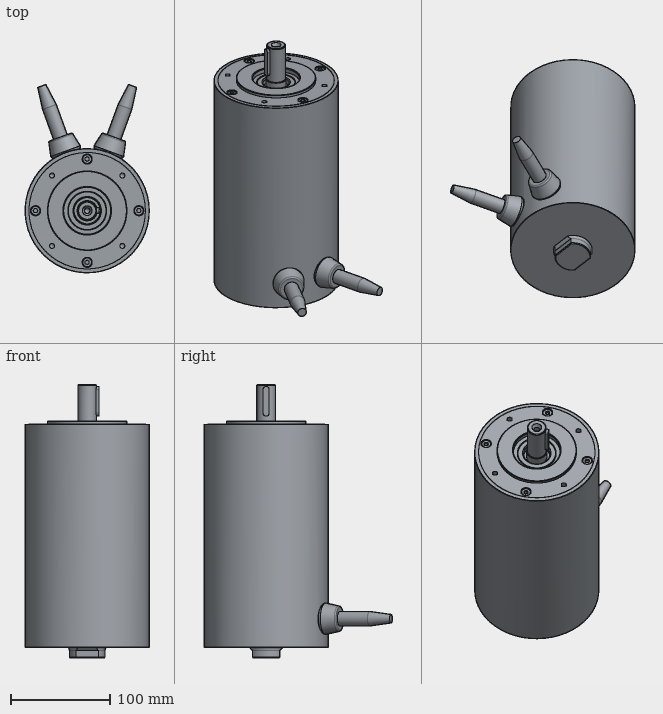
import cadquery as cq
import math

OVERLAP = 2.8
DRILL_TIP_HALF_ANGLE = 60.0

BODY_DIAMETER = 125.0
BODY_BOTTOM = 10.5
BODY_LENGTH = 224.7
BODY_EDGE_CHAMFER = 0.3
BODY_TOP = BODY_BOTTOM + BODY_LENGTH
END_PLATE_RADIUS = 58.5
END_PLATE_RISE = 0.3

PILOT_DIAMETER = 80.0
PILOT_HEIGHT = 3.0
PILOT_TOP = BODY_TOP + PILOT_HEIGHT
EDGE_BREAK = 0.5
RECESS_RADIUS = 23.6
RECESS_CHAMFER = 0.8
RECESS_DEPTH = 5.0
RECESS_FLOOR = PILOT_TOP - RECESS_DEPTH
SEAL_RADIUS = 19.5
SEAL_GROOVE_WIDTH = 0.5
SEAL_GROOVE_DEPTH = 0.5
SHAFT_GAP_RADIUS = 13.2
SHAFT_GAP_CHAMFER = 1.0
SHAFT_GAP_DEPTH = 6.0

SHAFT_TOP = 275.0
SHAFT_DIAMETER = 19.0
SHOULDER_DIAMETER = 20.4
SHOULDER_TOP = PILOT_TOP - 0.8
SHAFT_CHAMFER = 0.8
CENTER_HOLE_DIAMETER = 5.5
CENTER_HOLE_DEPTH = 13.8
CENTER_SINK_DIAMETER = 9.5
CENTER_SINK_HALF_ANGLE = 30.0

KEY_LENGTH = 30.0
KEY_WIDTH = 6.0
KEY_CREST = 12.0
KEY_SEAT = 6.0
KEY_TOP_GAP = 2.0

SCREW_CIRCLE_RADIUS = 52.0
FASTENER_COUNT = 4
SCREW_BORE_DIAMETER = 10.2
SCREW_BORE_DEPTH = 5.5
SCREW_HEAD_DIAMETER = 8.8
SCREW_HEAD_SINK = 0.8
HEX_SOCKET_ACROSS_CORNERS = 4.7
HEX_SOCKET_DEPTH = 2.5
MOUNT_CIRCLE_RADIUS = 50.0
MOUNT_HOLE_DIAMETER = 5.0
MOUNT_HOLE_DEPTH = 11.0

STUB_DIAMETER = 36.0
STUB_FLANGE_DIAMETER = 39.0
STUB_CHAMFER = 0.8
FLAT_SPACING = 27.8
FLAT_HEIGHT = 7.5

GLAND_ANGLE = 20.0
GLAND_Z = 39.3
GLAND_ROOT = 55.0
GLAND_BASE = 61.3
GLAND_RIM = 63.8
GLAND_FACE = 79.0
GLAND_BASE_RADIUS = 14.8
GLAND_RIM_RADIUS = 16.0
GLAND_FACE_RADIUS = 12.6
GLAND_FACE_FILLET = 1.6
CABLE_RADIUS = 7.5
CABLE_TAPER_START = 111.0
CABLE_END = 133.6
CABLE_END_RADIUS = 4.5


def cylinder(diameter, bottom, top):
    """Cylinder on the motor axis between two heights."""
    return cq.Workplane("XY").workplane(offset=bottom).circle(diameter / 2).extrude(top - bottom)


def drill(diameter, top, depth):
    """Drill-shaped cutter on the motor axis: a cylinder with a conical tip."""
    radius = diameter / 2
    tip_length = radius / math.tan(math.radians(DRILL_TIP_HALF_ANGLE))
    return (
        cq.Workplane("XZ")
        .moveTo(0, top)
        .lineTo(radius, top)
        .lineTo(radius, top - depth)
        .lineTo(0, top - depth - tip_length)
        .close()
        .revolve(360, (0, 0), (0, 1))
    )


def housing():
    body = cylinder(BODY_DIAMETER, BODY_BOTTOM, BODY_TOP - END_PLATE_RISE)
    body = body.edges().chamfer(BODY_EDGE_CHAMFER)
    pilot = cylinder(PILOT_DIAMETER, BODY_TOP - OVERLAP, PILOT_TOP).faces(">Z").edges().chamfer(EDGE_BREAK)
    end_plate = cylinder(2 * END_PLATE_RADIUS, BODY_TOP - OVERLAP, BODY_TOP)
    body = body.union(end_plate).union(pilot)

    body = body.cut(cylinder(2 * RECESS_RADIUS, RECESS_FLOOR, PILOT_TOP))
    recess_rim = body.faces(">Z").edges(cq.selectors.RadiusNthSelector(0))
    body = recess_rim.chamfer(RECESS_CHAMFER)

    shaft_gap = cylinder(2 * SHAFT_GAP_RADIUS, RECESS_FLOOR - SHAFT_GAP_DEPTH, RECESS_FLOOR)
    gap_edge = SHAFT_GAP_RADIUS + SHAFT_GAP_CHAMFER
    gap_bevel = cq.Workplane(cq.Solid.makeCone(
        gap_edge, SHAFT_GAP_RADIUS, SHAFT_GAP_CHAMFER,
        cq.Vector(0, 0, RECESS_FLOOR), cq.Vector(0, 0, -1)))
    seal_bottom = RECESS_FLOOR - SEAL_GROOVE_DEPTH
    seal_core = cylinder(2 * (SEAL_RADIUS - SEAL_GROOVE_WIDTH), seal_bottom, RECESS_FLOOR)
    seal_groove = cylinder(2 * SEAL_RADIUS, seal_bottom, RECESS_FLOOR).cut(seal_core)
    return body.cut(shaft_gap).cut(gap_bevel).cut(seal_groove)


def shaft():
    root = RECESS_FLOOR - SHAFT_GAP_DEPTH - OVERLAP
    shoulder = cylinder(SHOULDER_DIAMETER, root, SHOULDER_TOP).faces(">Z").edges().chamfer(EDGE_BREAK)
    journal = cylinder(SHAFT_DIAMETER, root, SHAFT_TOP).faces(">Z").edges().chamfer(SHAFT_CHAMFER)
    center_hole = drill(CENTER_HOLE_DIAMETER, SHAFT_TOP, CENTER_HOLE_DEPTH)
    sink_radius = CENTER_SINK_DIAMETER / 2
    sink_depth = sink_radius / math.tan(math.radians(CENTER_SINK_HALF_ANGLE))
    countersink = cq.Workplane(cq.Solid.makeCone(
        sink_radius, 0, sink_depth, cq.Vector(0, 0, SHAFT_TOP), cq.Vector(0, 0, -1)))
    return shoulder.union(journal).cut(center_hole).cut(countersink)


def feather_key():
    middle = SHAFT_TOP - KEY_TOP_GAP - KEY_LENGTH / 2
    plane = cq.Workplane("YZ", origin=(KEY_SEAT, 0, middle))
    return plane.slot2D(KEY_LENGTH, KEY_WIDTH, 90).extrude(KEY_CREST - KEY_SEAT)


def face_pattern(shape, circle_radius, start_angle):
    """Copies of an axial shape, evenly spaced around the end face."""
    moved = shape.translate((circle_radius, 0, 0))
    copies = cq.Workplane("XY")
    for index in range(FASTENER_COUNT):
        angle = start_angle + index * 360 / FASTENER_COUNT
        copies = copies.add(moved.rotate((0, 0, 0), (0, 0, 1), angle))
    return copies.combine()


def screw_bores():
    bore = cylinder(SCREW_BORE_DIAMETER, BODY_TOP - SCREW_BORE_DEPTH, BODY_TOP)
    return face_pattern(bore, SCREW_CIRCLE_RADIUS, 0)


def screw_heads():
    head_top = BODY_TOP - SCREW_HEAD_SINK
    head = cylinder(SCREW_HEAD_DIAMETER, BODY_TOP - SCREW_BORE_DEPTH, head_top)
    socket = cq.Workplane("XY").workplane(offset=head_top).polygon(6, HEX_SOCKET_ACROSS_CORNERS)
    return face_pattern(head.cut(socket.extrude(-HEX_SOCKET_DEPTH)), SCREW_CIRCLE_RADIUS, 0)


def mounting_holes():
    hole = drill(MOUNT_HOLE_DIAMETER, BODY_TOP, MOUNT_HOLE_DEPTH)
    return face_pattern(hole, MOUNT_CIRCLE_RADIUS, 45)


def rear_stub():
    radius = STUB_DIAMETER / 2
    flange_radius = STUB_FLANGE_DIAMETER / 2
    top = BODY_BOTTOM + OVERLAP
    stub = (
        cq.Workplane("XZ")
        .moveTo(0, 0)
        .lineTo(radius - STUB_CHAMFER, 0)
        .lineTo(radius, STUB_CHAMFER)
        .lineTo(radius, FLAT_HEIGHT)
        .tangentArcPoint((flange_radius, BODY_BOTTOM), relative=False)
        .lineTo(flange_radius, top)
        .lineTo(0, top)
        .close()
        .revolve(360, (0, 0), (0, 1))
    )
    half = FLAT_SPACING / 2
    slope_end = half + top - FLAT_HEIGHT
    flats = (
        cq.Workplane("YZ")
        .moveTo(STUB_CHAMFER - half, 0)
        .lineTo(half - STUB_CHAMFER, 0)
        .lineTo(half, STUB_CHAMFER)
        .lineTo(half, FLAT_HEIGHT)
        .lineTo(slope_end, top)
        .lineTo(-slope_end, top)
        .lineTo(-half, FLAT_HEIGHT)
        .lineTo(-half, STUB_CHAMFER)
        .close()
        .extrude(flange_radius, both=True)
    )
    return stub.intersect(flats)


def cable_gland(angle):
    """Flared gland with its cable, turned about Z by the given angle from +Y."""
    gland = (
        cq.Workplane("XY")
        .moveTo(0, GLAND_BASE)
        .lineTo(GLAND_BASE_RADIUS, GLAND_BASE)
        .lineTo(GLAND_RIM_RADIUS, GLAND_RIM)
        .lineTo(GLAND_FACE_RADIUS, GLAND_FACE)
        .lineTo(0, GLAND_FACE)
        .close()
        .revolve(360, (0, 0), (0, 1))
        .faces(">Y").edges().fillet(GLAND_FACE_FILLET)
    )
    core = (
        cq.Workplane("XY")
        .moveTo(0, GLAND_ROOT)
        .lineTo(GLAND_BASE_RADIUS, GLAND_ROOT)
        .lineTo(GLAND_BASE_RADIUS, GLAND_BASE + OVERLAP)
        .lineTo(CABLE_RADIUS, GLAND_BASE + OVERLAP)
        .lineTo(CABLE_RADIUS, CABLE_TAPER_START)
        .lineTo(CABLE_END_RADIUS, CABLE_END)
        .lineTo(0, CABLE_END)
        .close()
        .revolve(360, (0, 0), (0, 1))
    )
    return gland.union(core).translate((0, 0, GLAND_Z)).rotate((0, 0, 0), (0, 0, 1), angle)


result = housing().cut(screw_bores()).union(screw_heads()).cut(mounting_holes())
result = result.union(shaft()).union(feather_key()).union(rear_stub())
for side in (-1, 1):
    result = result.union(cable_gland(side * GLAND_ANGLE))